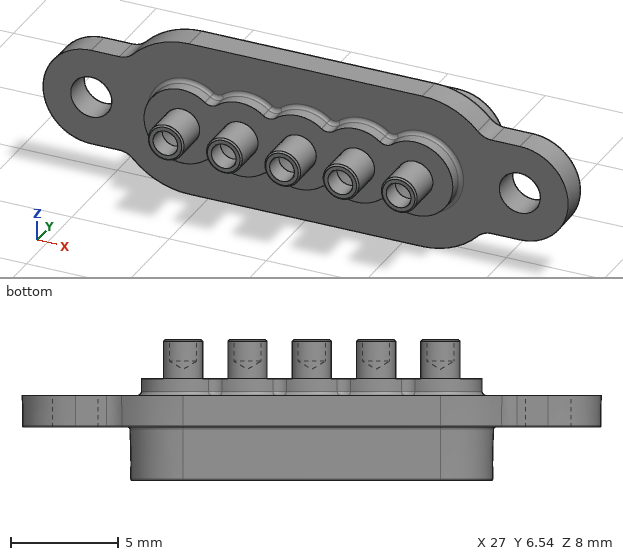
import cadquery as cq
import math

CONTACT_COUNT = 5
CONTACT_PITCH = 3.0
ROW_HALF = CONTACT_PITCH * (CONTACT_COUNT - 1) / 2

LENGTH = 27.0
FLANGE_RADIUS = 4.0
FLANGE_THICKNESS = 1.48
FLANGE_DRAFT = 1.0
EAR_RADIUS = 2.48
EAR_CENTER = LENGTH / 2 - EAR_RADIUS
EAR_BLEND_RADIUS = 1.0
MOUNTING_HOLE_DIAMETER = 2.1

EDGE_ROUND = 0.08

PLUG_RADIUS = 2.48
PLUG_HEIGHT = 2.48
PLUG_DRAFT = 1.0
PLUG_BASE_FILLET = 0.08

PAD_RADIUS = 1.95
PAD_HEIGHT = 0.78
PAD_NECK_RADIUS = 0.5
PAD_BASE_FILLET = 0.2

TUBE_DIAMETER = 1.84
TUBE_LENGTH = 1.8
TUBE_CHAMFER = 0.08
CUP_DIAMETER = 1.27
CUP_DEPTH = 1.0
CUP_TIP_ANGLE = 118.0

SELECT_MARGIN = 0.03


def contact_positions():
    return [index * CONTACT_PITCH - ROW_HALF for index in range(CONTACT_COUNT)]


def facing_back(y):
    """Workplane at the given Y, looking along +Y."""
    return cq.Workplane("XZ", origin=(0, y, 0)).workplane(invert=True)


def facing_front(y):
    """Workplane at the given Y, looking along -Y."""
    return cq.Workplane("XZ", origin=(0, y, 0))


def flange_outline(plane):
    """Rounded bar with a narrower rounded ear on each end, joined by tangent blends."""
    blend_z = EAR_RADIUS + EAR_BLEND_RADIUS
    reach = FLANGE_RADIUS + EAR_BLEND_RADIUS
    angle = math.asin(blend_z / reach)
    blend_x = ROW_HALF + reach * math.cos(angle)
    join_x = ROW_HALF + FLANGE_RADIUS * math.cos(angle)
    join_z = FLANGE_RADIUS * math.sin(angle)

    bar_mid_angle = (angle + math.pi / 2) / 2
    bar_mid_x = ROW_HALF + FLANGE_RADIUS * math.cos(bar_mid_angle)
    bar_mid_z = FLANGE_RADIUS * math.sin(bar_mid_angle)
    blend_mid_x = blend_x - EAR_BLEND_RADIUS * math.cos(bar_mid_angle)
    blend_mid_z = blend_z - EAR_BLEND_RADIUS * math.sin(bar_mid_angle)

    return (
        plane.moveTo(-ROW_HALF, FLANGE_RADIUS)
        .lineTo(ROW_HALF, FLANGE_RADIUS)
        .threePointArc((bar_mid_x, bar_mid_z), (join_x, join_z))
        .threePointArc((blend_mid_x, blend_mid_z), (blend_x, EAR_RADIUS))
        .lineTo(EAR_CENTER, EAR_RADIUS)
        .threePointArc((LENGTH / 2, 0), (EAR_CENTER, -EAR_RADIUS))
        .lineTo(blend_x, -EAR_RADIUS)
        .threePointArc((blend_mid_x, -blend_mid_z), (join_x, -join_z))
        .threePointArc((bar_mid_x, -bar_mid_z), (ROW_HALF, -FLANGE_RADIUS))
        .lineTo(-ROW_HALF, -FLANGE_RADIUS)
        .threePointArc((-bar_mid_x, -bar_mid_z), (-join_x, -join_z))
        .threePointArc((-blend_mid_x, -blend_mid_z), (-blend_x, -EAR_RADIUS))
        .lineTo(-EAR_CENTER, -EAR_RADIUS)
        .threePointArc((-LENGTH / 2, 0), (-EAR_CENTER, EAR_RADIUS))
        .lineTo(-blend_x, EAR_RADIUS)
        .threePointArc((-blend_mid_x, blend_mid_z), (-join_x, join_z))
        .threePointArc((-bar_mid_x, bar_mid_z), (-ROW_HALF, FLANGE_RADIUS))
        .close()
    )


def make_flange():
    flange = flange_outline(facing_back(0)).extrude(FLANGE_THICKNESS, taper=FLANGE_DRAFT)
    flange = flange.faces(">Y").edges().fillet(EDGE_ROUND)
    holes = (
        facing_back(0)
        .pushPoints([(-EAR_CENTER, 0), (EAR_CENTER, 0)])
        .circle(MOUNTING_HOLE_DIAMETER / 2)
        .extrude(FLANGE_THICKNESS)
    )
    return flange.cut(holes)


def make_plug():
    plug = (
        facing_back(FLANGE_THICKNESS)
        .slot2D(2 * (ROW_HALF + PLUG_RADIUS), 2 * PLUG_RADIUS)
        .extrude(PLUG_HEIGHT, taper=PLUG_DRAFT)
    )
    return plug.faces(">Y").edges().fillet(EDGE_ROUND)


def make_pad():
    """Row of overlapping discs with the notches between them rounded."""
    half_pitch = CONTACT_PITCH / 2
    notch_z = math.sqrt(PAD_RADIUS**2 - half_pitch**2)
    pad = facing_front(0).rect(2 * ROW_HALF, 2 * notch_z).extrude(PAD_HEIGHT)
    for x in contact_positions():
        pad = pad.union(facing_front(0).center(x, 0).circle(PAD_RADIUS).extrude(PAD_HEIGHT))
    notches = cq.selectors.BoxSelector(
        (-ROW_HALF, -PAD_HEIGHT, -notch_z - SELECT_MARGIN), (ROW_HALF, 0, notch_z + SELECT_MARGIN)
    )
    return pad.edges("|Y").edges(notches).fillet(PAD_NECK_RADIUS)


def plug_base_edges():
    """Edges where the plug meets the back face of the flange."""
    return cq.selectors.BoxSelector(
        (-ROW_HALF - PLUG_RADIUS, FLANGE_THICKNESS - SELECT_MARGIN, -PLUG_RADIUS - SELECT_MARGIN),
        (ROW_HALF + PLUG_RADIUS, FLANGE_THICKNESS + SELECT_MARGIN, PLUG_RADIUS + SELECT_MARGIN),
    )


def pad_base_edges():
    """Edges where the pad meets the front face of the flange."""
    return cq.selectors.BoxSelector(
        (-ROW_HALF - PAD_RADIUS, -SELECT_MARGIN, -PAD_RADIUS - SELECT_MARGIN),
        (ROW_HALF + PAD_RADIUS, SELECT_MARGIN, PAD_RADIUS + SELECT_MARGIN),
    )


def make_housing():
    housing = make_flange().union(make_plug())
    housing = housing.edges(plug_base_edges()).fillet(PLUG_BASE_FILLET)
    housing = housing.union(make_pad())
    return housing.edges(pad_base_edges()).fillet(PAD_BASE_FILLET)


def make_cup(x):
    """Drilled solder cup with a conical bottom, open at the front end of the tube."""
    mouth_y = -PAD_HEIGHT - TUBE_LENGTH
    cup_radius = CUP_DIAMETER / 2
    floor_y = mouth_y + CUP_DEPTH
    tip_y = floor_y + cup_radius / math.tan(math.radians(CUP_TIP_ANGLE / 2))
    half_section = (
        cq.Workplane("XY", origin=(x, 0, 0))
        .moveTo(0, mouth_y)
        .lineTo(cup_radius, mouth_y)
        .lineTo(cup_radius, floor_y)
        .lineTo(0, tip_y)
        .close()
    )
    return half_section.revolve(360, (0, 0, 0), (0, 1, 0))


def make_tube(x):
    tube = facing_front(-PAD_HEIGHT).center(x, 0).circle(TUBE_DIAMETER / 2).extrude(TUBE_LENGTH)
    tube = tube.faces("<Y").edges().chamfer(TUBE_CHAMFER)
    return tube.cut(make_cup(x))


housing = make_housing()
tubes = [make_tube(x) for x in contact_positions()]
result = cq.Compound.makeCompound([housing.val(), *[tube.val() for tube in tubes]])